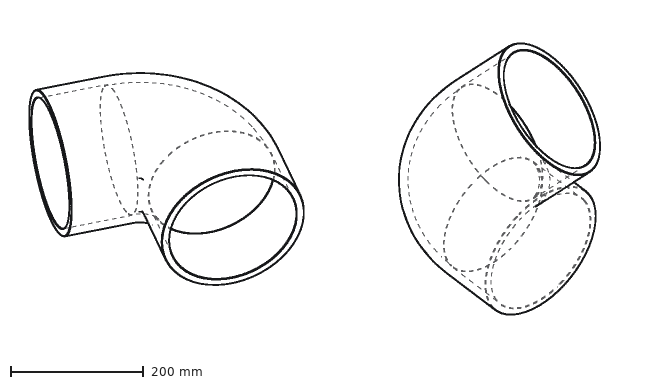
import cadquery as cq
import math

outer_diameter = 225.0
bend_bore_diameter = 197.8
leg_bore_diameter = 200.0
leg_length = 107.7
bend_angle = 89.0
crotch_radius = 5.0
rim_chamfer = 1.0

outer_radius = outer_diameter / 2
bend_radius = outer_radius
pivot_point = (bend_radius, 0, 0)
pivot_end = (bend_radius, 0, 1)

crotch_half_height = math.sqrt(outer_radius**2 - (outer_radius - crotch_radius) ** 2)
crotch_zone_size = 4 * crotch_radius


def place_second_leg(leg):
    """Mirror a first-leg shape to the far end of the bend, so that it faces outwards."""
    return leg.mirror("XZ").rotate(pivot_point, pivot_end, -bend_angle)


def leg_rod(diameter, inward=0.0):
    """Rod along -Y filling the first leg, optionally reaching into the bend."""
    return cq.Workplane("XZ", origin=(0, inward, 0)).circle(diameter / 2).extrude(leg_length + inward)


def bend_rod(diameter):
    """Rod swept around the pivot from the first leg to the second."""
    return (
        cq.Workplane("XZ")
        .circle(diameter / 2)
        .revolve(bend_angle, (bend_radius, 3.5, 0), (bend_radius, 0, 0))
    )


def elbow(bend, leg):
    """Join a bend with the same leg at each of its ends."""
    return bend.union(leg).union(place_second_leg(leg))


def crotch_zone():
    """Block around the pivot that holds the inner corner between the legs."""
    height = 2 * crotch_half_height
    return cq.Workplane(origin=pivot_point).box(crotch_zone_size, crotch_zone_size, height)


def crotch_web():
    """Inner corner where the two leg walls meet, rounded by the crotch fillet."""
    rod = leg_rod(outer_diameter, inward=crotch_zone_size)
    corner = rod.intersect(crotch_zone()).union(place_second_leg(rod).intersect(crotch_zone()))
    return corner.edges(cq.NearestToPointSelector(pivot_point)).fillet(crotch_radius)


def body():
    """Solid elbow with chamfered rims and a filleted crotch."""
    leg = leg_rod(outer_diameter).faces("<Y").chamfer(rim_chamfer)
    plain_elbow = elbow(bend_rod(outer_diameter), leg)
    return plain_elbow.cut(crotch_zone()).union(crotch_web())


def passage():
    """Bore through the bend, stepped wider in the legs and chamfered at each mouth."""
    mouth = (
        cq.Workplane("XZ", origin=(0, -leg_length, 0))
        .circle(leg_bore_diameter / 2 + rim_chamfer)
        .workplane(offset=-rim_chamfer)
        .circle(leg_bore_diameter / 2)
        .loft()
    )
    return elbow(bend_rod(bend_bore_diameter), leg_rod(leg_bore_diameter).union(mouth))


result = body().cut(passage())